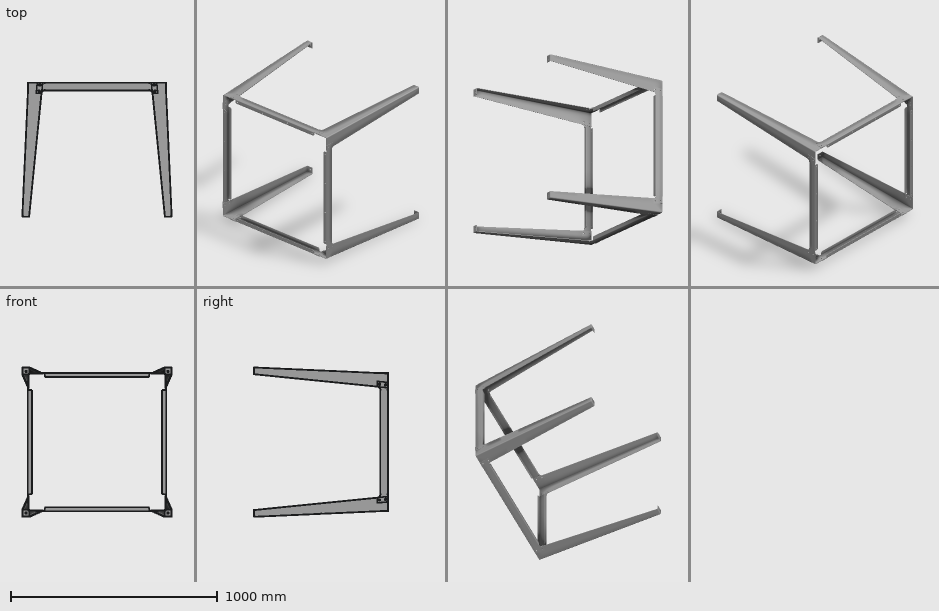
import cadquery as cq
import math

quarter_turns = [0, 90, 180, 270]

sheet = 2.5
leg_inner_bend = 2.0
leg_outer_bend = leg_inner_bend + sheet
rail_inner_bend = 1.0
rail_outer_bend = rail_inner_bend + sheet

leg_height = 650.09
foot_reach = 362.25
top_reach = 333.0
foot_width = 34.0
top_width = 70.0
outer_slope = (foot_reach - top_reach) / leg_height
inner_slope = (foot_reach - foot_width - top_reach + top_width) / leg_height
foot_hole = 7.0
foot_hole_inset = 19.5

tab_width = 26.0
tab_drop = 52.0
tab_hole = 6.5
tab_hole_drops = [12.0, 42.0]

rail_face = top_reach + sheet
rail_height = 39.0
rail_depth = 21.0
flange_half_length = 253.0
flange_corner = 5.0
tab_corner_radius = 12.0

top_hole = 6.0
top_hole_pitch = 160.0
top_hole_count = 4
top_hole_inset = 12.0


def outer_edge(drop):
    """Distance from the frame axis to a leg's outer face, at a given drop below the top."""
    return top_reach + outer_slope * drop


def inner_edge(drop):
    """Distance from the frame axis to a leg's free edge, at a given drop below the top."""
    return top_reach - top_width + inner_slope * drop


def square_wire(drop, low, high):
    """Square across the leg at a given drop, spanning low to high along both X and Z."""
    middle = (low + high) / 2
    plane = cq.Plane(origin=(0, -drop, 0), xDir=(1, 0, 0), normal=(0, -1, 0))
    return cq.Workplane(plane).center(middle, middle).rect(high - low, high - low).wires().val()


def rounded_frustum(drop, low_top, high_top, low_bottom, high_bottom, radius):
    """Tapered square block below Y = 0, rounded on its long outer corner and two foot edges."""
    top = square_wire(0, low_top, high_top)
    bottom = square_wire(drop, low_bottom, high_bottom)
    block = cq.Workplane(cq.Solid.makeLoft([top, bottom], True))
    corner_reach = (high_top + high_bottom) / 2
    foot_middle = (low_bottom + high_bottom) / 2
    corner = cq.selectors.NearestToPointSelector((corner_reach, -drop / 2, corner_reach))
    foot_x = cq.selectors.NearestToPointSelector((high_bottom, -drop, foot_middle))
    foot_z = cq.selectors.NearestToPointSelector((foot_middle, -drop, high_bottom))
    return block.edges(corner + foot_x + foot_z).fillet(radius)


def tab_outline(z):
    """Outline of a tab at the +X end of the +Z rail, on the plane at height z."""
    return cq.Workplane("XY", origin=(0, 0, z)).polyline([
        (inner_edge(0), 0),
        (inner_edge(0) + tab_width, 0),
        (inner_edge(tab_drop) + tab_width, -tab_drop),
        (inner_edge(tab_drop), -tab_drop),
    ]).close()


def tab_holes(z, length):
    """Screw holes along the middle of the tab, starting at height z."""
    centres = [(inner_edge(drop) + tab_width / 2, -drop) for drop in tab_hole_drops]
    return cq.Workplane("XY", origin=(0, 0, z)).pushPoints(centres).circle(tab_hole / 2).extrude(length)


def swap_flange(shape):
    """Mirror a feature of the +Z flange onto the +X flange of the same leg."""
    return shape.mirror("XY").rotate((0, 0, 0), (0, 1, 0), -90)


def make_leg():
    """Leg at the +X, +Z corner: two tapering flanges closed by a foot plate."""
    outside = rounded_frustum(leg_height, inner_edge(0), outer_edge(0),
                              inner_edge(leg_height), outer_edge(leg_height), leg_outer_bend)

    wall = sheet * math.hypot(1, outer_slope)
    hollow_drop = leg_height - sheet
    hollow_low = inner_edge(0) - top_width
    hollow = rounded_frustum(hollow_drop, hollow_low, outer_edge(0) - wall,
                             hollow_low, outer_edge(hollow_drop) - wall, leg_inner_bend)
    leg = outside.cut(hollow)

    pad = tab_outline(top_reach - sheet).extrude(sheet)
    recess = tab_outline(top_reach).extrude(rail_depth)
    holes = tab_holes(top_reach - 2 * sheet, 4 * sheet)
    leg = leg.union(pad).union(swap_flange(pad))
    leg = leg.cut(recess).cut(swap_flange(recess))
    leg = leg.cut(holes).cut(swap_flange(holes))

    hole_centre = foot_reach - foot_hole_inset
    foot_drill = (cq.Workplane("XZ", origin=(hole_centre, -leg_height + 2 * sheet, hole_centre))
                  .circle(foot_hole / 2).extrude(4 * sheet))
    return leg.cut(foot_drill)


def channel_block(height, face, radius):
    """Bar along X with its two edges at the +Z face rounded, centred on the rail's height."""
    return (cq.Workplane("XY")
            .box(2 * flange_half_length, height, rail_depth)
            .translate((0, -rail_height / 2, face - rail_depth / 2))
            .edges("|X and >Z").fillet(radius))


def make_rail():
    """Rail on the +Z side: a channel opening toward the frame axis, with a tab at each end."""
    channel = channel_block(rail_height, rail_face, rail_outer_bend)
    channel = channel.edges("|Y and <Z").chamfer(flange_corner)
    channel = channel.cut(channel_block(rail_height - 2 * sheet, top_reach, rail_inner_bend))

    end = cq.Workplane("XY", origin=(0, 0, top_reach)).polyline([
        (flange_half_length, 0),
        (inner_edge(0) + tab_width, 0),
        (inner_edge(tab_drop) + tab_width, -tab_drop),
        (inner_edge(tab_drop), -tab_drop),
        (inner_edge(rail_height), -rail_height),
        (flange_half_length, -rail_height),
    ]).close().extrude(sheet)
    inside_corner = cq.selectors.NearestToPointSelector(
        (inner_edge(rail_height), -rail_height, top_reach + sheet / 2))
    end = end.edges(inside_corner).fillet(tab_corner_radius)
    end = end.cut(tab_holes(top_reach, sheet))
    rail = channel.union(end).union(end.mirror("YZ"))

    first_hole = -top_hole_pitch * (top_hole_count - 1) / 2
    centres = [(first_hole + i * top_hole_pitch, rail_face - top_hole_inset) for i in range(top_hole_count)]
    top_drill = cq.Workplane("XZ").pushPoints(centres).circle(top_hole / 2).extrude(2 * sheet)
    return rail.cut(top_drill)


leg = make_leg()
rail = make_rail()
legs = [leg.rotate((0, 0, 0), (0, 1, 0), turn).val() for turn in quarter_turns]
rails = [rail.rotate((0, 0, 0), (0, 1, 0), turn).val() for turn in quarter_turns]
result = cq.Compound.makeCompound([*legs, *rails])